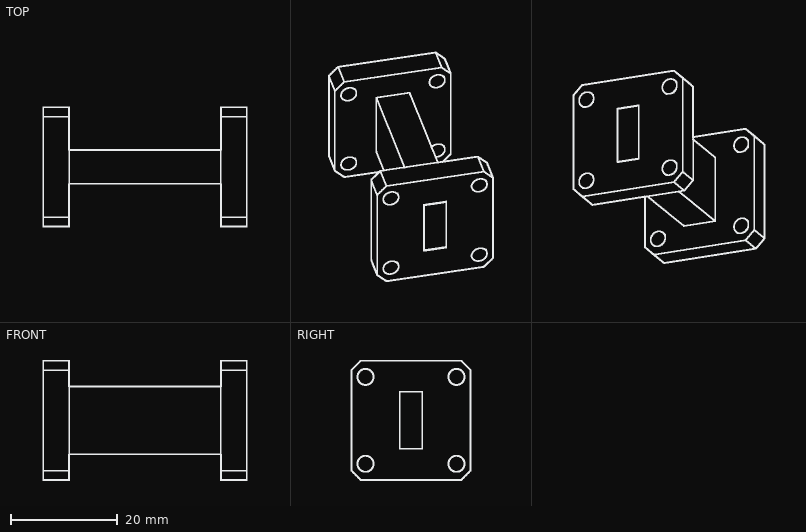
import cadquery as cq

length = 38.1
flange_side = 22.35
flange_thickness = 4.85
corner_chamfer = 1.8

body_width = 6.4
body_height = 12.75

hole_diameter = 2.97
hole_spacing_y = 17.03
hole_spacing_z = 16.25

recess_width = 4.3
recess_height = 10.65
recess_depth = 0.202


def bar_along_x(start, bar_length, width, height):
    """Rectangular bar centred on the X axis, running from start toward +X."""
    return (
        cq.Workplane("YZ", origin=(start, 0, 0))
        .rect(width, height)
        .extrude(bar_length)
    )


def flange(start):
    """Square flange with chamfered corners and four bolt holes."""
    plate = bar_along_x(start, flange_thickness, flange_side, flange_side)
    plate = plate.edges("|X").chamfer(corner_chamfer)
    holes = (
        cq.Workplane("YZ", origin=(start, 0, 0))
        .rect(hole_spacing_y, hole_spacing_z, forConstruction=True)
        .vertices()
        .circle(hole_diameter / 2)
        .extrude(flange_thickness)
    )
    return plate.cut(holes)


left_end = -length / 2
right_end = length / 2

result = bar_along_x(
    left_end + flange_thickness, length - 2 * flange_thickness, body_width, body_height
)
for flange_start in (left_end, right_end - flange_thickness):
    result = result.union(flange(flange_start))
for recess_start in (left_end, right_end - recess_depth):
    result = result.cut(bar_along_x(recess_start, recess_depth, recess_width, recess_height))